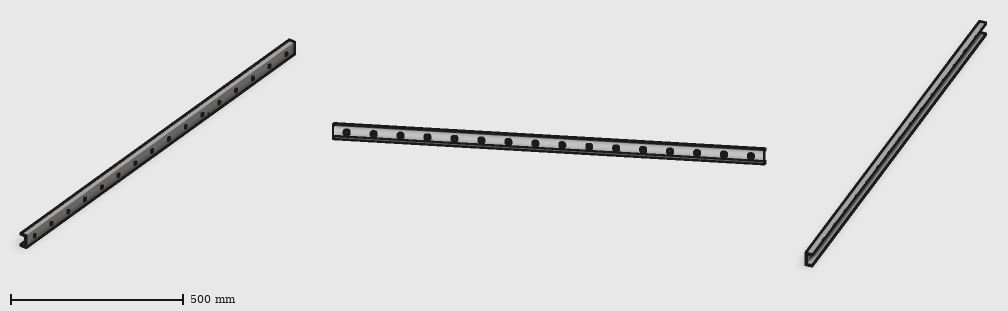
import cadquery as cq

LENGTH = 1280.0
WIDTH = 21.0
HEIGHT = 43.0

WEB_THICKNESS = 4.5
FLANGE_THICKNESS = 4.0
OUTER_CORNER_RADIUS = 0.9
INNER_CORNER_RADIUS = 1.25

HOLE_DIAMETER = 9.0
COUNTERSINK_DIAMETER = 17.6
COUNTERSINK_ANGLE = 90.0
HOLE_PITCH = 80.0
HOLE_COUNT = 16

WEB_FACE_X = WIDTH / 2 - WEB_THICKNESS


def make_channel():
    """C-shaped channel along Y, open towards -X, with rounded outer and inner corners."""
    body = cq.Workplane("XY").box(WIDTH, LENGTH, HEIGHT)
    body = body.edges("|Y").fillet(OUTER_CORNER_RADIUS)
    cavity_width = WIDTH - WEB_THICKNESS
    cavity_height = HEIGHT - 2 * FLANGE_THICKNESS
    cavity = cq.Workplane("XY").box(cavity_width, LENGTH, cavity_height)
    cavity = cavity.edges("|Y and >X").fillet(INNER_CORNER_RADIUS)
    return body.cut(cavity.translate((-WEB_THICKNESS / 2, 0, 0)))


def cut_mounting_holes(rail):
    """Row of through holes along the middle of the web, countersunk from its inner face."""
    web_face = cq.Plane(origin=(WEB_FACE_X, 0, 0), xDir=(0, 1, 0), normal=(-1, 0, 0))
    return (
        rail.copyWorkplane(cq.Workplane(web_face))
        .rarray(HOLE_PITCH, 1, HOLE_COUNT, 1)
        .cskHole(HOLE_DIAMETER, COUNTERSINK_DIAMETER, COUNTERSINK_ANGLE, WEB_THICKNESS)
    )


result = cut_mounting_holes(make_channel())